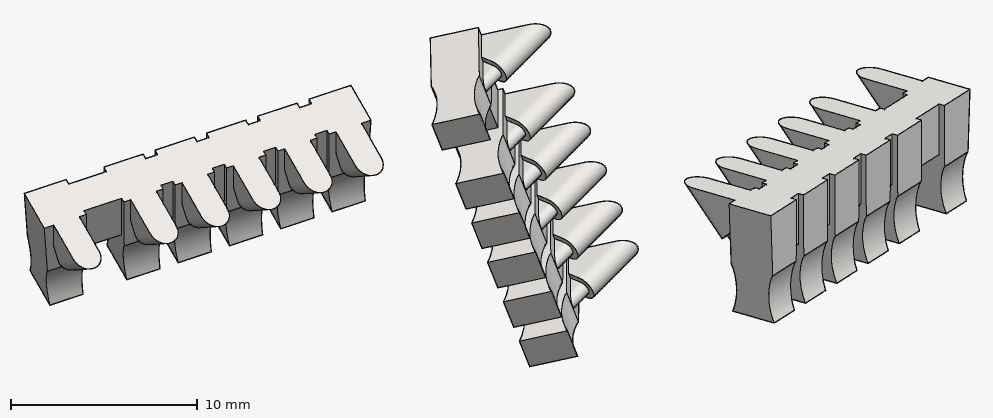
import cadquery as cq
import math

length = 19.11
height = 6.5
body_depth = 2.7
finger_reach = 3.65

pitch = 3.0
even_tooth_count = 5
wide_pitch = 1.5 * pitch
row_span = (even_tooth_count - 1) * pitch + wide_pitch
tooth_centers = [row_span / 2 - i * pitch for i in range(even_tooth_count)]
tooth_centers.append(-row_span / 2)

tooth_top_width = length - row_span
tooth_bottom_width = 1.95

web_height = pitch
web_back_recess = 0.35
web_front_recess = 0.29
web_bottom = height - web_height
tooth_width_at_web = tooth_top_width + (tooth_bottom_width - tooth_top_width) * web_height / height

bevel_top = 2.87
bevel_bottom = 2.7
bevel_inset = 0.1
waist_mid = 1.53
waist_inset = 0.3

finger_angle = 48.0
finger_radius = pitch / 4
finger_thin_radius = 0.42
finger_step_distance = 3.75


def make_tooth(center):
    """Tapered tooth with a waist near its lower end."""
    side = (
        cq.Workplane("XZ", origin=(0, length, 0))
        .moveTo(0, height)
        .lineTo(0, bevel_top)
        .lineTo(bevel_inset, bevel_bottom)
        .threePointArc((waist_inset, waist_mid), (0, 0))
        .lineTo(body_depth, 0)
        .threePointArc((body_depth - waist_inset, waist_mid), (body_depth - bevel_inset, bevel_bottom))
        .lineTo(body_depth, bevel_top)
        .lineTo(body_depth, height)
        .close()
        .extrude(2 * length)
    )
    taper = (
        cq.Workplane("YZ")
        .polyline([
            (center - tooth_top_width / 2, height),
            (center - tooth_bottom_width / 2, 0),
            (center + tooth_bottom_width / 2, 0),
            (center + tooth_top_width / 2, height),
        ])
        .close()
        .extrude(body_depth)
    )
    return side.intersect(taper)


def make_gap(upper_center, lower_center):
    """Straight-walled space between two teeth, over the height of the web."""
    gap_width = upper_center - lower_center - tooth_width_at_web
    return (
        cq.Workplane("XY", origin=(0, (upper_center + lower_center) / 2, web_bottom))
        .rect(body_depth, gap_width, centered=(False, True))
        .extrude(web_height)
    )


def make_web():
    """Bar running from the first tooth to the last."""
    web_depth = body_depth - web_back_recess - web_front_recess
    return (
        cq.Workplane("XY", origin=(web_back_recess, 0, web_bottom))
        .rect(web_depth, row_span, centered=(False, True))
        .extrude(web_height)
    )


def make_bar(plane, radius, bar_length):
    """Bar along the plane normal: flat sides running in past the body, round nose outward."""
    return (
        cq.Workplane(plane)
        .moveTo(-body_depth - finger_reach, -radius)
        .lineTo(0, -radius)
        .threePointArc((radius, 0), (0, radius))
        .lineTo(-body_depth - finger_reach, radius)
        .close()
        .extrude(bar_length)
    )


def make_finger(center):
    """Finger sloping from the top face back down to the tooth face."""
    slope = math.radians(finger_angle)
    up_x = math.cos(slope)
    up_z = math.sin(slope)
    step_x = body_depth + finger_reach - finger_step_distance * up_x - finger_radius * up_z
    step_z = height - finger_step_distance * up_z + finger_radius * up_x
    step_plane = cq.Plane(
        origin=(step_x, center, step_z), xDir=(up_z, 0, -up_x), normal=(up_x, 0, up_z)
    )
    thick = make_bar(step_plane, finger_radius, height)
    thin = make_bar(step_plane, finger_thin_radius, -height)
    room = (
        cq.Workplane("XY", origin=(body_depth, center, 0))
        .rect(finger_reach, 2 * pitch, centered=(False, True))
        .extrude(height)
    )
    return thick.union(thin).intersect(room)


body = make_tooth(tooth_centers[0])
for tooth_center in tooth_centers[1:]:
    body = body.union(make_tooth(tooth_center))

for upper, lower in zip(tooth_centers, tooth_centers[1:]):
    body = body.cut(make_gap(upper, lower))

body = body.union(make_web())
for tooth_center in tooth_centers:
    body = body.union(make_finger(tooth_center))

result = body